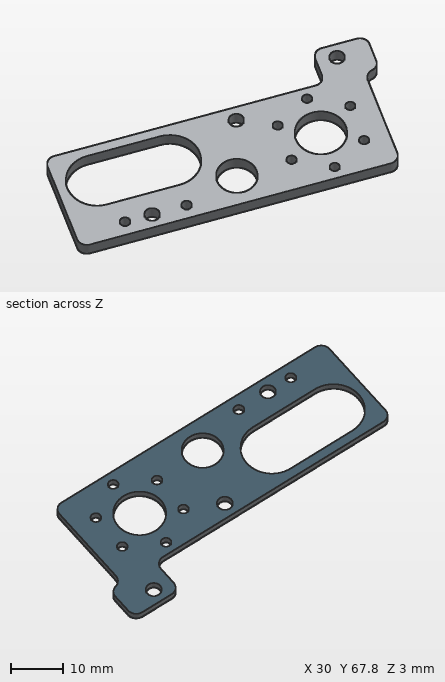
import cadquery as cq
import math

total_width = 30.0
total_length = 67.85
thickness = 3.0
tab_width = 8.0
tab_length = 11.0
tab_rise = 3.0
corner_radius = 2.0

bore_center = (18.9, 52.4)
bore_diameter = 10.1
ring_radius = 8.5
ring_count = 6
ring_hole_diameter = 2.0

side_bore_center = (23.5, 33.85)
side_bore_diameter = 8.0
medium_diameter = 3.0
tab_hole = (3.0, 60.9)
left_hole = (11.0, 37.85)
right_column_x = 27.0
right_medium_y = 15.55
right_small_ys = (10.05, 22.5)
right_small_diameter = 2.05

slot_center = (16.0, 15.4)
slot_length = 26.8
slot_width = 12.0


def make_outline():
    """Plate with rounded corners and an S-curve joining tab and body tops."""
    r = corner_radius
    diagonal = r * math.sqrt(0.5)
    body_top = total_length - tab_rise
    tab_bottom = total_length - tab_length

    half_span = math.sqrt(r**2 - (r - tab_rise / 2) ** 2)
    curve_start = (tab_width - half_span, total_length)
    curve_middle = (tab_width, total_length - tab_rise / 2)
    curve_end = (tab_width + half_span, body_top)

    return (
        cq.Workplane("XY")
        .moveTo(r, total_length)
        .lineTo(*curve_start)
        .tangentArcPoint(curve_middle, relative=False)
        .tangentArcPoint(curve_end, relative=False)
        .lineTo(total_width - r, body_top)
        .tangentArcPoint((total_width, body_top - r), relative=False)
        .lineTo(total_width, r)
        .tangentArcPoint((total_width - r, 0), relative=False)
        .lineTo(tab_width + r, 0)
        .tangentArcPoint((tab_width, r), relative=False)
        .lineTo(tab_width, tab_bottom - r)
        .tangentArcPoint((tab_width - r, tab_bottom), relative=False)
        .lineTo(r, tab_bottom)
        .threePointArc((r - diagonal, tab_bottom + r - diagonal), (0, tab_bottom + r))
        .lineTo(0, total_length - r)
        .tangentArcPoint((r, total_length), relative=False)
        .close()
    )


def drill(points, diameter):
    """Through-hole cutters at the given centers."""
    return cq.Workplane("XY").pushPoints(points).circle(diameter / 2).extrude(thickness)


ring_points = [
    (
        bore_center[0] + ring_radius * math.cos(2 * math.pi * i / ring_count),
        bore_center[1] + ring_radius * math.sin(2 * math.pi * i / ring_count),
    )
    for i in range(ring_count)
]
right_small_points = [(right_column_x, y) for y in right_small_ys]
medium_points = [tab_hole, left_hole, (right_column_x, right_medium_y)]

slot = cq.Workplane("XY").center(*slot_center).slot2D(slot_length, slot_width, 90).extrude(thickness)

result = (
    make_outline()
    .extrude(thickness)
    .cut(drill([bore_center], bore_diameter))
    .cut(drill([side_bore_center], side_bore_diameter))
    .cut(drill(ring_points, ring_hole_diameter))
    .cut(drill(right_small_points, right_small_diameter))
    .cut(drill(medium_points, medium_diameter))
    .cut(slot)
)